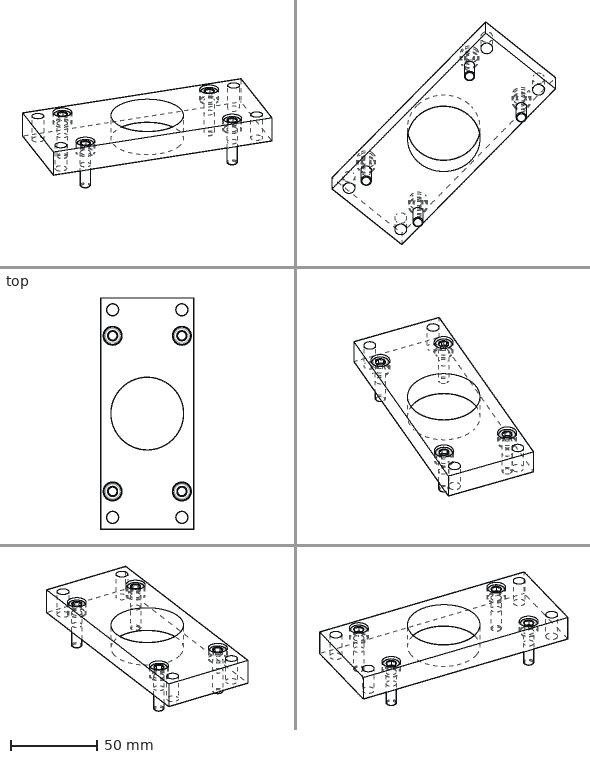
import cadquery as cq
import math

PLATE_WIDTH = 54.0
PLATE_LENGTH = 134.0
PLATE_THICKNESS = 15.0
BORE_DIAMETER = 42.0

CORNER_HOLE_DIAMETER = 6.8
CORNER_HOLE_SPACING_Y = 120.0

COLUMN_SPACING = 40.0
SCREW_SPACING_Y = 90.0

SHANK_DIAMETER = 6.0
SHANK_CHAMFER = 0.5
HEAD_DIAMETER = 10.0
HEAD_HEIGHT = 6.0
HEAD_ROUNDING = 0.74
SCREW_TIP_Z = -28.8
SOCKET_WIDTH = 5.0
SOCKET_TURN = 30.0
SOCKET_DEPTH = 3.0
SOCKET_MOUTH_DIAMETER = 5.9
DRILL_POINT_ANGLE = 120.0

COUNTERBORE_DIAMETER = 11.0
HEAD_RECESS = 1.0

HEAD_TOP_Z = -HEAD_RECESS
HEAD_SEAT_Z = HEAD_TOP_Z - HEAD_HEIGHT


def column_pattern(spacing_y):
    """Four points on the two columns, mirrored about both plate axes."""
    return [
        (side_x * COLUMN_SPACING / 2, side_y * spacing_y / 2)
        for side_x in (-1, 1)
        for side_y in (-1, 1)
    ]


SCREW_POINTS = column_pattern(SCREW_SPACING_Y)
CORNER_POINTS = column_pattern(CORNER_HOLE_SPACING_Y)


def make_plate():
    """Rectangular plate with a central bore, corner holes and counterbored screw holes."""
    plate = cq.Workplane("XY").rect(PLATE_WIDTH, PLATE_LENGTH).extrude(-PLATE_THICKNESS)
    top = plate.faces(">Z").workplane(origin=(0, 0, 0))
    plate = top.hole(BORE_DIAMETER)

    top = plate.faces(">Z").workplane(origin=(0, 0, 0))
    plate = top.pushPoints(CORNER_POINTS).hole(CORNER_HOLE_DIAMETER)

    top = plate.faces(">Z").workplane(origin=(0, 0, 0))
    return top.pushPoints(SCREW_POINTS).cboreHole(SHANK_DIAMETER, COUNTERBORE_DIAMETER, -HEAD_SEAT_Z)


def make_socket():
    """Hexagonal socket cavity, with a flat on +X and -X, a lead-in cone and a conical floor."""
    flat_radius = SOCKET_WIDTH / 2
    corner_diameter = SOCKET_WIDTH / math.cos(math.pi / 6)
    hexagon = cq.Workplane("XY").polygon(6, corner_diameter).extrude(-SOCKET_DEPTH)
    hexagon = hexagon.rotate((0, 0, 0), (0, 0, 1), SOCKET_TURN)

    mouth_radius = SOCKET_MOUTH_DIAMETER / 2
    down = cq.Vector(0, 0, -1)
    lead_in = cq.Solid.makeCone(mouth_radius, flat_radius, mouth_radius - flat_radius, cq.Vector(0, 0, 0), down)

    floor_height = flat_radius / math.tan(math.radians(DRILL_POINT_ANGLE / 2))
    floor = cq.Solid.makeCone(flat_radius, 0, floor_height, cq.Vector(0, 0, -SOCKET_DEPTH), down)

    socket = hexagon.union(cq.Workplane(lead_in)).union(cq.Workplane(floor))
    return socket.translate((0, 0, HEAD_TOP_Z))


def make_screw(x, y):
    """Socket head screw, placed at the given plate position."""
    head = cq.Workplane("XY", origin=(0, 0, HEAD_SEAT_Z)).circle(HEAD_DIAMETER / 2).extrude(HEAD_HEIGHT)
    head = head.faces(">Z").edges().fillet(HEAD_ROUNDING)

    shank_length = HEAD_SEAT_Z - SCREW_TIP_Z
    shank = cq.Workplane("XY", origin=(0, 0, SCREW_TIP_Z)).circle(SHANK_DIAMETER / 2).extrude(shank_length)
    shank = shank.faces("<Z").edges().chamfer(SHANK_CHAMFER)

    screw = head.union(shank).cut(make_socket())
    return screw.translate((x, y, 0))


plate = make_plate()
screws = [make_screw(x, y) for x, y in SCREW_POINTS]

result = cq.Compound.makeCompound([plate.val(), *[screw.val() for screw in screws]])